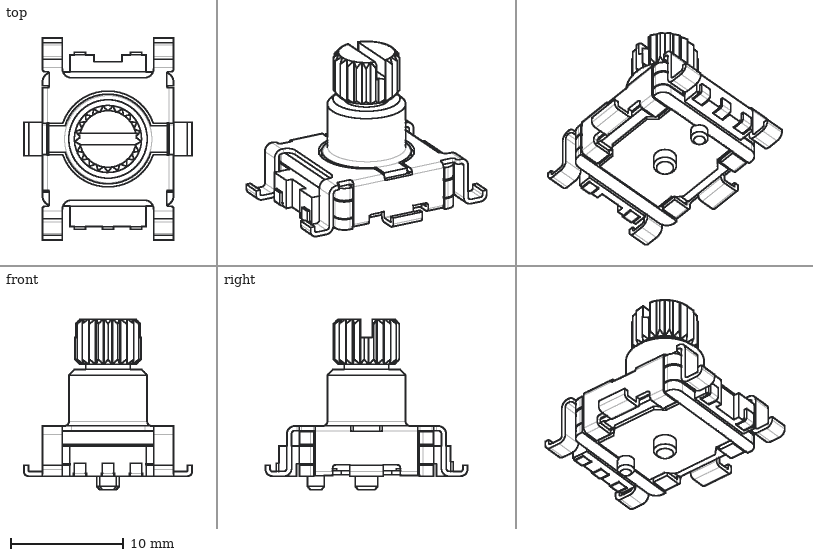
import cadquery as cq
import math


SHEET = 0.43
COVER_TOP = 4.48
COVER_UNDERSIDE = COVER_TOP - SHEET
COVER_HALF_X = 5.85
WALL_INNER_X = COVER_HALF_X - SHEET
WALL_HALF_Y = 4.57
COVER_EDGE_Y = 5.45
COVER_EDGE_FILLET = 0.77
RELIEF_X = 5.22
RELIEF_END_Y = 5.98
RELIEF_FILLET = 0.18
LEG_CORNER_FILLET = 0.25
LEG_WIDTH = 1.8
LEG_INNER_X = COVER_HALF_X - LEG_WIDTH
LEG_OUTER_Y = 7.1
LEG_TIP_Y = 9.0
LEG_BEND = 0.29
LEG_BEND_START_Y = LEG_OUTER_Y - SHEET - LEG_BEND
LIP_BEND = 0.2
LIP_TOP = 0.99
TAB_HALF_Y = 1.5
TAB_SPAN = 15.0
TAB_TIP_X = TAB_SPAN / 2
TAB_BEND = 0.05
NOTCH_HALF_Y = 3.0
NOTCH_TOP = 1.0
NOTCH_FILLET = 0.27
CRIMP_BOTTOM = 0.05
CRIMP_FOLD_RADIUS = 0.38
CRIMP_END_X = 3.96
OPENING_RADIUS = 4.27
OPENING_HALF_Y = 1.4
WINDOW_FILLET = 0.13

HOUSING_HALF_X = COVER_HALF_X
HOUSING_HALF_Y = 5.98
HOUSING_CORNER = 0.95
HOUSING_WAIST_X = 5.3
HOUSING_WAIST_Y = 4.72
UPPER_TOP = 4.0
UPPER_BOTTOM = 2.85
MIDDLE_TOP = 2.7
MIDDLE_BOTTOM = 1.1
LOWER_TOP = 1.0

FLANGE_RADIUS = 4.0
ARM_HALF_Y = 1.17
BUSHING_RADIUS = 3.5
BUSHING_TOP = 9.5
BUSHING_CHAMFER = 0.5
BUSHING_FILLET = 0.4
NECK_RADIUS = 2.0
KNOB_BOTTOM = 9.99
KNOB_TOP = 13.99
KNOB_TIP_RADIUS = 2.95
KNOB_VALLEY_RADIUS = 2.5
KNOB_VALLEY_FLAT = 0.063
KNOB_TEETH = 21
KNOB_CHAMFER = 0.43
SLOT_WIDTH = 0.99
SLOT_DEPTH = 1.62

BLOCK_HALF_X = 3.4
BLOCK_INNER_Y = 6.21
FRONT_BLOCK_Y = 7.8
BACK_BLOCK_Y = 7.49
BACK_RECESS_HALF_X = 1.22
BACK_RECESS_Y = 6.9

TERMINAL_THICKNESS = 0.25
TERMINAL_WIDTH = 1.0
TERMINAL_PITCH = 2.5
FRONT_TERMINALS_X = (-TERMINAL_PITCH, 0, TERMINAL_PITCH)
BACK_TERMINALS_X = (-TERMINAL_PITCH, TERMINAL_PITCH)
TERMINAL_FOOT = 0.9
TERMINAL_SLOT_WIDTH = 1.2
FRONT_TERMINAL_TOP = 1.17
BACK_TERMINAL_TOP = 1.3

CRIMP_CEILING = CRIMP_BOTTOM + SHEET
CRIMP_RELIEF_TOP = 0.65
CRIMP_RELIEF_Y = 2.65
PAD_BOTTOM = 0.13
PAD_WIDE_X = 4.32
PAD_WIDE_Y = 2.25
PAD_NARROW_Y = NOTCH_HALF_Y
PAD_NARROW_X = PAD_WIDE_X - (PAD_NARROW_Y - PAD_WIDE_Y)
PEG_BOTTOM = -1.2
PEG_CHAMFER_HEIGHT = 0.3
PEG_CHAMFER_WIDTH = 0.25
CENTRE_PEG_RADIUS = 1.0
SIDE_PEG_RADIUS = 0.75
SIDE_PEG_Y = -4.5


def box(x0, x1, y0, y1, z0, z1):
    """A box between the given limits."""
    return cq.Workplane("XY").box(x1 - x0, y1 - y0, z1 - z0, centered=False).translate((x0, y0, z0))


def rounded_outline(plane, corners):
    """A closed outline through corners (u, v, radius); a radius above 0 rounds that corner."""
    outline = cq.Workplane(plane)
    for i, (u, v, radius) in enumerate(corners):
        corner = cq.Vector(u, v)
        before = (cq.Vector(*corners[i - 1][:2]) - corner).normalized()
        after = (cq.Vector(*corners[(i + 1) % len(corners)][:2]) - corner).normalized()
        half_angle = before.getAngle(after) / 2
        setback = radius / math.tan(half_angle)
        start = corner + before * setback
        end = corner + after * setback
        to_middle = radius / math.sin(half_angle) - radius
        middle = corner + (before + after).normalized() * to_middle
        outline = outline.moveTo(start.x, start.y) if i == 0 else outline.lineTo(start.x, start.y)
        if radius > 0:
            outline = outline.threePointArc((middle.x, middle.y), (end.x, end.y))
    return outline.close()


def four_quadrants(corners):
    """Corners of a quarter outline, from the +Y side to the +X side, mirrored all round."""
    right = corners + [(u, -v, r) for u, v, r in reversed(corners)]
    return right + [(-u, v, r) for u, v, r in reversed(right)]


def both_x_sides(solid):
    """A solid on the +X side and its mirror image on the -X side."""
    return [solid, solid.mirror("YZ")]


def cover_sheet():
    quarter = [
        (LEG_INNER_X, COVER_EDGE_Y, COVER_EDGE_FILLET),
        (LEG_INNER_X, LEG_BEND_START_Y, 0),
        (COVER_HALF_X, LEG_BEND_START_Y, 0),
        (COVER_HALF_X, RELIEF_END_Y, LEG_CORNER_FILLET),
        (RELIEF_X, RELIEF_END_Y, RELIEF_FILLET),
        (RELIEF_X, WALL_HALF_Y, RELIEF_FILLET),
        (WALL_INNER_X, WALL_HALF_Y, 0),
    ]
    sheet = rounded_outline("XY", four_quadrants(quarter)).extrude(SHEET)
    return sheet.translate((0, 0, COVER_UNDERSIDE))


def cover_leg():
    """Leg at the +X, +Y corner: down from the sheet, outwards as a foot, up again as a lip."""
    root_y = RELIEF_END_Y + LEG_CORNER_FILLET
    profile = [
        (root_y, COVER_TOP, 0),
        (LEG_OUTER_Y, COVER_TOP, LEG_BEND + SHEET),
        (LEG_OUTER_Y, SHEET, LEG_BEND),
        (LEG_TIP_Y - SHEET, SHEET, LIP_BEND),
        (LEG_TIP_Y - SHEET, LIP_TOP, 0),
        (LEG_TIP_Y, LIP_TOP, 0),
        (LEG_TIP_Y, 0, LIP_BEND + SHEET),
        (LEG_OUTER_Y - SHEET, 0, LEG_BEND + SHEET),
        (LEG_OUTER_Y - SHEET, COVER_UNDERSIDE, LEG_BEND),
        (root_y, COVER_UNDERSIDE, 0),
    ]
    return rounded_outline("YZ", profile).extrude(LEG_WIDTH).translate((LEG_INNER_X, 0, 0))


def cover_side():
    """Wall on the +X side, with its strips crimped inwards and its tab bent outwards."""
    wall_and_crimp = [
        (RELIEF_X, COVER_UNDERSIDE, 0),
        (RELIEF_X, COVER_TOP, 0),
        (COVER_HALF_X, COVER_TOP, SHEET),
        (COVER_HALF_X, CRIMP_BOTTOM, CRIMP_FOLD_RADIUS),
        (CRIMP_END_X, CRIMP_BOTTOM, 0),
        (CRIMP_END_X, CRIMP_CEILING, 0),
        (WALL_INNER_X, CRIMP_CEILING, 0),
        (WALL_INNER_X, COVER_UNDERSIDE, 0),
    ]
    side = rounded_outline("XZ", wall_and_crimp).extrude(WALL_HALF_Y, both=True)

    notch = [
        (-NOTCH_HALF_Y, NOTCH_TOP, NOTCH_FILLET),
        (NOTCH_HALF_Y, NOTCH_TOP, NOTCH_FILLET),
        (NOTCH_HALF_Y, 0, 0),
        (-NOTCH_HALF_Y, 0, 0),
    ]
    side = side.cut(rounded_outline("YZ", notch).extrude(COVER_HALF_X))

    tab = [
        (WALL_INNER_X, NOTCH_TOP, 0),
        (COVER_HALF_X, NOTCH_TOP, 0),
        (COVER_HALF_X, SHEET, TAB_BEND),
        (TAB_TIP_X - SHEET, SHEET, TAB_BEND),
        (TAB_TIP_X - SHEET, LIP_TOP, 0),
        (TAB_TIP_X, LIP_TOP, 0),
        (TAB_TIP_X, 0, SHEET),
        (WALL_INNER_X, 0, SHEET),
    ]
    return side.union(rounded_outline("XZ", tab).extrude(TAB_HALF_Y, both=True))


def cover_window():
    """Window through the top of the +X wall, at the end of an arm of the upper housing."""
    window = box(WALL_INNER_X, COVER_HALF_X, -OPENING_HALF_Y, OPENING_HALF_Y, UPPER_TOP, COVER_TOP)
    return window.edges("|X and <Z").fillet(WINDOW_FILLET)


def make_cover():
    cover = cover_sheet()
    for leg in both_x_sides(cover_leg()):
        cover = cover.union(leg).union(leg.mirror("XZ"))
    for side in both_x_sides(cover_side()):
        cover = cover.union(side)
    cover = cover.cut(
        cq.Workplane("XY").workplane(offset=COVER_UNDERSIDE).circle(OPENING_RADIUS).extrude(SHEET)
    )
    cover = cover.cut(
        box(-WALL_INNER_X, WALL_INNER_X, -OPENING_HALF_Y, OPENING_HALF_Y, COVER_UNDERSIDE, COVER_TOP)
    )
    for window in both_x_sides(cover_window()):
        cover = cover.cut(window)
    return cover


def housing_plate(bottom, top):
    quarter = [
        (HOUSING_HALF_X, HOUSING_HALF_Y, HOUSING_CORNER),
        (HOUSING_HALF_X, HOUSING_WAIST_Y, 0),
        (HOUSING_WAIST_X, HOUSING_WAIST_Y, 0),
    ]
    plate = rounded_outline("XY", four_quadrants(quarter)).extrude(top - bottom)
    return plate.translate((0, 0, bottom))


def bushing_and_neck():
    outline = (
        cq.Workplane("XZ")
        .moveTo(0, UPPER_TOP)
        .lineTo(FLANGE_RADIUS, UPPER_TOP)
        .lineTo(FLANGE_RADIUS, COVER_TOP)
        .lineTo(BUSHING_RADIUS + BUSHING_FILLET, COVER_TOP)
        .radiusArc((BUSHING_RADIUS, COVER_TOP + BUSHING_FILLET), BUSHING_FILLET)
        .lineTo(BUSHING_RADIUS, BUSHING_TOP - BUSHING_CHAMFER)
        .lineTo(BUSHING_RADIUS - BUSHING_CHAMFER, BUSHING_TOP)
        .lineTo(NECK_RADIUS, BUSHING_TOP)
        .lineTo(NECK_RADIUS, KNOB_BOTTOM)
        .lineTo(0, KNOB_BOTTOM)
        .close()
    )
    return outline.revolve(360, (0, 0, 0), (0, 1, 0))


def knob():
    """Knurled head: a star of pointed teeth, chamfered at both ends and slotted along X."""
    half_pitch = math.pi / KNOB_TEETH
    half_flat = math.atan(KNOB_VALLEY_FLAT / 2 / KNOB_VALLEY_RADIUS)
    points = []
    for tooth in range(KNOB_TEETH):
        valley_angle = math.pi / 2 + 2 * tooth * half_pitch
        for radius, angle in (
            (KNOB_VALLEY_RADIUS, valley_angle - half_flat),
            (KNOB_VALLEY_RADIUS, valley_angle + half_flat),
            (KNOB_TIP_RADIUS, valley_angle + half_pitch),
        ):
            points.append((radius * math.cos(angle), radius * math.sin(angle)))
    height = KNOB_TOP - KNOB_BOTTOM
    star = cq.Workplane("XY").polyline(points).close().extrude(height)
    envelope = cq.Workplane("XY").circle(KNOB_TIP_RADIUS).extrude(height)
    envelope = envelope.faces("<Z or >Z").chamfer(KNOB_CHAMFER)
    slot = box(
        -KNOB_TIP_RADIUS, KNOB_TIP_RADIUS, -SLOT_WIDTH / 2, SLOT_WIDTH / 2, height - SLOT_DEPTH, height
    )
    return star.intersect(envelope).cut(slot).translate((0, 0, KNOB_BOTTOM))


def make_upper_housing():
    """Upper plate with its flange and arms, the bushing and the shaft end."""
    arms = box(
        -HOUSING_WAIST_X, HOUSING_WAIST_X, -ARM_HALF_Y, ARM_HALF_Y, UPPER_TOP, COVER_TOP
    )
    housing = housing_plate(UPPER_BOTTOM, UPPER_TOP).union(arms)
    return housing.union(bushing_and_neck()).union(knob())


def terminal_slot(x, face_y):
    """Slot for a terminal foot, in the underside of a block facing +Y."""
    half_width = TERMINAL_SLOT_WIDTH / 2
    return box(x - half_width, x + half_width, face_y - TERMINAL_FOOT, face_y, 0, TERMINAL_THICKNESS)


def make_middle_housing():
    """Middle plate with a terminal block hanging down at each end."""
    housing = housing_plate(MIDDLE_BOTTOM, MIDDLE_TOP)
    blocks = box(-BLOCK_HALF_X, BLOCK_HALF_X, -FRONT_BLOCK_Y, BACK_BLOCK_Y, 0, MIDDLE_TOP)
    space_between = box(-BLOCK_HALF_X, BLOCK_HALF_X, -BLOCK_INNER_Y, BLOCK_INNER_Y, 0, MIDDLE_BOTTOM)
    housing = housing.union(blocks.cut(space_between))
    housing = housing.cut(
        box(-BACK_RECESS_HALF_X, BACK_RECESS_HALF_X, BACK_RECESS_Y, BACK_BLOCK_Y, 0, MIDDLE_TOP)
    )
    for x in FRONT_TERMINALS_X:
        housing = housing.cut(terminal_slot(x, FRONT_BLOCK_Y).mirror("XZ"))
    for x in BACK_TERMINALS_X:
        housing = housing.cut(terminal_slot(x, BACK_BLOCK_Y))
    return housing


def make_terminal(x, face_y, top):
    """L-shaped terminal on a block facing +Y: a plate on its face and a foot below it."""
    outer_y = face_y + TERMINAL_THICKNESS
    profile = [
        (face_y, top, 0),
        (outer_y, top, 0),
        (outer_y, 0, TERMINAL_THICKNESS),
        (face_y - TERMINAL_FOOT, 0, 0),
        (face_y - TERMINAL_FOOT, TERMINAL_THICKNESS, 0),
        (face_y, TERMINAL_THICKNESS, 0),
    ]
    terminal = rounded_outline("YZ", profile).extrude(TERMINAL_WIDTH / 2, both=True)
    return terminal.translate((x, 0, 0))


def locating_peg(y, radius):
    peg = cq.Workplane("XY").circle(radius).extrude(LOWER_TOP - PEG_BOTTOM)
    peg = peg.faces("<Z").chamfer(PEG_CHAMFER_HEIGHT, PEG_CHAMFER_WIDTH)
    return peg.translate((0, y, PEG_BOTTOM))


def make_lower_housing():
    """Lower plate, hollowed below for the crimped strips, with two locating pegs."""
    housing = housing_plate(0, LOWER_TOP)
    housing = housing.cut(
        box(-HOUSING_WAIST_X, HOUSING_WAIST_X, -HOUSING_WAIST_Y, HOUSING_WAIST_Y, 0, CRIMP_CEILING)
    )
    for relief in both_x_sides(
        box(CRIMP_END_X, HOUSING_WAIST_X, CRIMP_RELIEF_Y, HOUSING_WAIST_Y, 0, CRIMP_RELIEF_TOP)
    ):
        housing = housing.cut(relief).cut(relief.mirror("XZ"))
    pad_quarter = [
        (PAD_NARROW_X, HOUSING_WAIST_Y, 0),
        (PAD_NARROW_X, PAD_NARROW_Y, 0),
        (PAD_WIDE_X, PAD_WIDE_Y, 0),
    ]
    pad = rounded_outline("XY", four_quadrants(pad_quarter)).extrude(CRIMP_CEILING - PAD_BOTTOM)
    housing = housing.union(pad.translate((0, 0, PAD_BOTTOM)))
    housing = housing.union(locating_peg(0, CENTRE_PEG_RADIUS))
    return housing.union(locating_peg(SIDE_PEG_Y, SIDE_PEG_RADIUS))


cover = make_cover()
upper_housing = make_upper_housing()
middle_housing = make_middle_housing()
lower_housing = make_lower_housing()
terminals = []
for x in FRONT_TERMINALS_X:
    terminals.append(make_terminal(x, FRONT_BLOCK_Y, FRONT_TERMINAL_TOP).mirror("XZ").val())
for x in BACK_TERMINALS_X:
    terminals.append(make_terminal(x, BACK_BLOCK_Y, BACK_TERMINAL_TOP).val())

result = cq.Compound.makeCompound(
    [cover.val(), upper_housing.val(), middle_housing.val(), lower_housing.val(), *terminals]
)